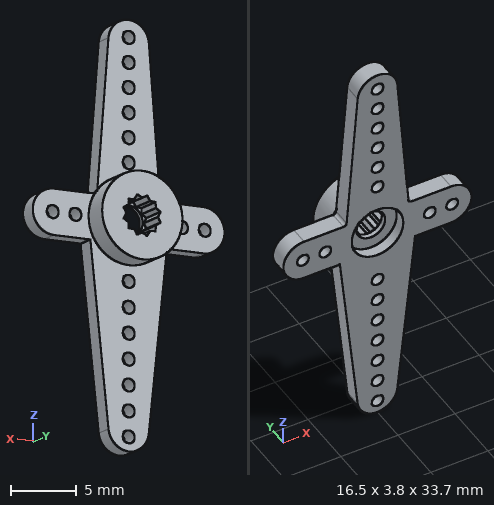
import cadquery as cq
import math

plate_thickness = 1.62
overall_length = 33.7
upper_reach = 15.7
lower_reach = overall_length - upper_reach
side_reach = 8.25
side_arm_half_height = 1.82
tip_radius = 1.75
upper_root_half_width = 2.73
lower_root_half_width = 3.3
corner_fillet = 0.27

small_hole_diameter = 1.0
upper_first_hole = 4.55
upper_hole_pitch = 1.95
upper_hole_count = 6
lower_first_hole = 4.7
lower_hole_pitch = 2.02
lower_hole_count = 7
side_first_hole = 4.58
side_hole_pitch = 1.95
side_hole_count = 2

overall_depth = 3.8
hub_diameter = 6.9
recess_diameter = 4.5
recess_depth = 1.0
screw_hole_diameter = 2.5
screw_hole_length = 0.5
socket_tip_radius = 1.35
socket_root_radius = 1.62
socket_tooth_count = 12


def on_front(y=0.0):
    """Sketch plane facing the front at depth y: local x is X, local y is Z, extrusion goes to -Y."""
    return cq.Workplane("XZ", origin=(0, y, 0))


def tapered_arm(direction, root_half_width, reach):
    """Arm running up (+1) or down (-1) from the hub axis, with flanks tangent to a round tip."""
    tip_center = reach - tip_radius
    run = tip_center - side_arm_half_height
    root_distance = math.hypot(root_half_width, run)
    flank_angle = math.atan2(root_half_width, run) - math.asin(tip_radius / root_distance)
    tangent_x = tip_radius * math.cos(flank_angle)
    tangent_z = direction * (tip_center + tip_radius * math.sin(flank_angle))
    root_z = direction * side_arm_half_height
    return (
        on_front()
        .moveTo(-root_half_width, 0)
        .lineTo(-root_half_width, root_z)
        .lineTo(-tangent_x, tangent_z)
        .threePointArc((0, direction * reach), (tangent_x, tangent_z))
        .lineTo(root_half_width, root_z)
        .lineTo(root_half_width, 0)
        .close()
        .extrude(-plate_thickness)
    )


def make_plate():
    side_arms = on_front().slot2D(2 * side_reach, 2 * side_arm_half_height).extrude(-plate_thickness)
    upper_arm = tapered_arm(1, upper_root_half_width, upper_reach)
    lower_arm = tapered_arm(-1, lower_root_half_width, lower_reach)
    plate = side_arms.union(upper_arm).union(lower_arm).clean()
    for side in (-1, 1):
        corner = (side * upper_root_half_width, plate_thickness / 2, side_arm_half_height)
        plate = plate.edges(cq.selectors.NearestToPointSelector(corner)).fillet(corner_fillet)
    return plate


def hole_row(first, pitch, count):
    return [first + i * pitch for i in range(count)]


def make_small_holes():
    points = [(0, z) for z in hole_row(upper_first_hole, upper_hole_pitch, upper_hole_count)]
    points += [(0, -z) for z in hole_row(lower_first_hole, lower_hole_pitch, lower_hole_count)]
    for x in hole_row(side_first_hole, side_hole_pitch, side_hole_count):
        points += [(x, 0), (-x, 0)]
    return on_front().pushPoints(points).circle(small_hole_diameter / 2).extrude(-plate_thickness)


def make_socket():
    """Star-shaped socket whose pointed teeth reach inward at even angles, one of them at +X."""
    half_pitch = math.pi / socket_tooth_count
    points = []
    for i in range(2 * socket_tooth_count):
        radius = socket_root_radius if i % 2 else socket_tip_radius
        points.append((radius * math.cos(i * half_pitch), radius * math.sin(i * half_pitch)))
    socket_start = recess_depth + screw_hole_length
    return on_front(socket_start).polyline(points).close().extrude(socket_start - overall_depth)


hub = on_front(plate_thickness).circle(hub_diameter / 2).extrude(plate_thickness - overall_depth)
recess = on_front().circle(recess_diameter / 2).extrude(-recess_depth)
screw_hole = on_front().circle(screw_hole_diameter / 2).extrude(-overall_depth)

result = (
    make_plate()
    .union(hub)
    .cut(make_small_holes())
    .cut(recess)
    .cut(screw_hole)
    .cut(make_socket())
)